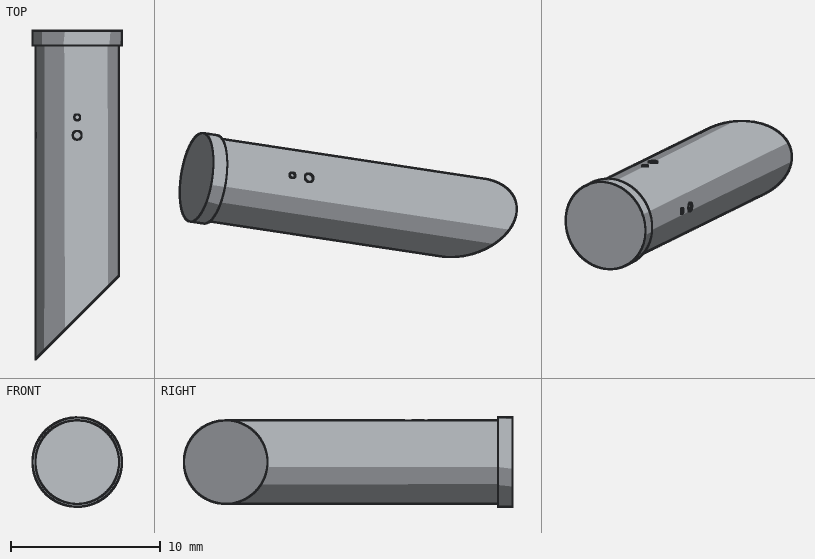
import cadquery as cq

total_length = 22.0
head_diameter = 6.0
head_length = 1.0
body_diameter = 5.6

small_dimple = (0.4, 5.8)
large_dimple = (0.6, 7.0)
dimple_depth = 0.1

body_radius = body_diameter / 2
dimple_sides = [(0, 0, 1), (-1, 0, 0)]


def make_head():
    return cq.Workplane("XZ").circle(head_diameter / 2).extrude(head_length)


def make_body():
    """Round shank whose end is cut at 45 degrees, longest on the -X side."""
    short_side_length = total_length - body_diameter
    shank = cq.Workplane("XZ").circle(body_radius).extrude(total_length)
    side_profile = (
        cq.Workplane("XY", origin=(0, 0, -body_radius))
        .moveTo(-body_radius, 0)
        .lineTo(body_radius, 0)
        .lineTo(body_radius, -short_side_length)
        .lineTo(-body_radius, -total_length)
        .close()
        .extrude(body_diameter)
    )
    return shank.intersect(side_profile)


def make_dimple_cutter(direction, diameter, distance):
    """Radial cylinder reaching dimple_depth below the body surface."""
    outward = cq.Vector(*direction)
    floor = outward * (body_radius - dimple_depth) + cq.Vector(0, -distance, 0)
    cutter = cq.Solid.makeCylinder(diameter / 2, 2 * dimple_depth, floor, outward)
    return cq.Workplane(cutter)


result = make_head().union(make_body())
for side in dimple_sides:
    for dimple_diameter, dimple_distance in (small_dimple, large_dimple):
        result = result.cut(make_dimple_cutter(side, dimple_diameter, dimple_distance))